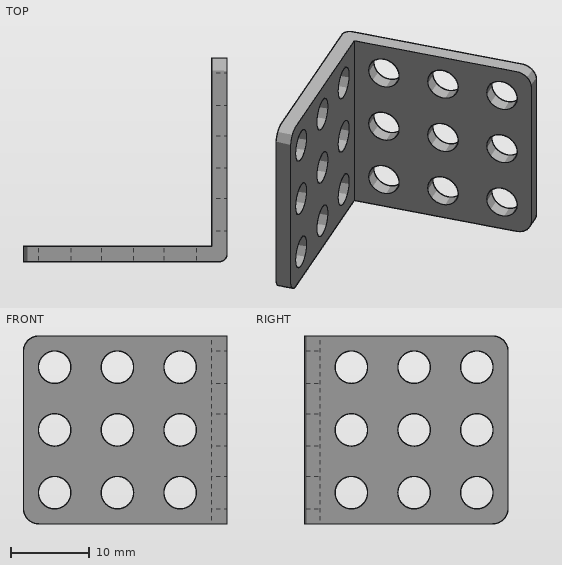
import cadquery as cq

leg_length = 26.0
height = 24.0
holes_per_side = 3
hole_diameter = 4.1
bend_radius = 1.05

pitch = height / holes_per_side
edge_distance = pitch / 2
thickness = pitch / 4
corner_radius = thickness


def hole_cutters(plane):
    """Square grid of hole cylinders, measured from the free end of a leg."""
    centres = [
        (edge_distance + column * pitch, edge_distance + row * pitch)
        for column in range(holes_per_side)
        for row in range(holes_per_side)
    ]
    return (
        cq.Workplane(plane)
        .pushPoints(centres)
        .circle(hole_diameter / 2)
        .extrude(thickness)
    )


front_leg = cq.Workplane("XY").box(leg_length, thickness, height, centered=False)
side_leg = (
    cq.Workplane("XY")
    .box(thickness, leg_length, height, centered=False)
    .translate((leg_length - thickness, 0, 0))
)

front_leg = front_leg.faces("<X").edges("|Y").fillet(corner_radius)
side_leg = side_leg.faces(">Y").edges("|X").fillet(corner_radius)

bracket = front_leg.union(side_leg)
bracket = bracket.edges(
    cq.selectors.NearestToPointSelector((leg_length, 0, height / 2))
).fillet(bend_radius)

front_plane = cq.Plane(origin=(0, thickness, 0), xDir=(1, 0, 0), normal=(0, -1, 0))
side_plane = cq.Plane(
    origin=(leg_length, leg_length, 0), xDir=(0, -1, 0), normal=(-1, 0, 0)
)
result = bracket.cut(hole_cutters(front_plane)).cut(hole_cutters(side_plane))